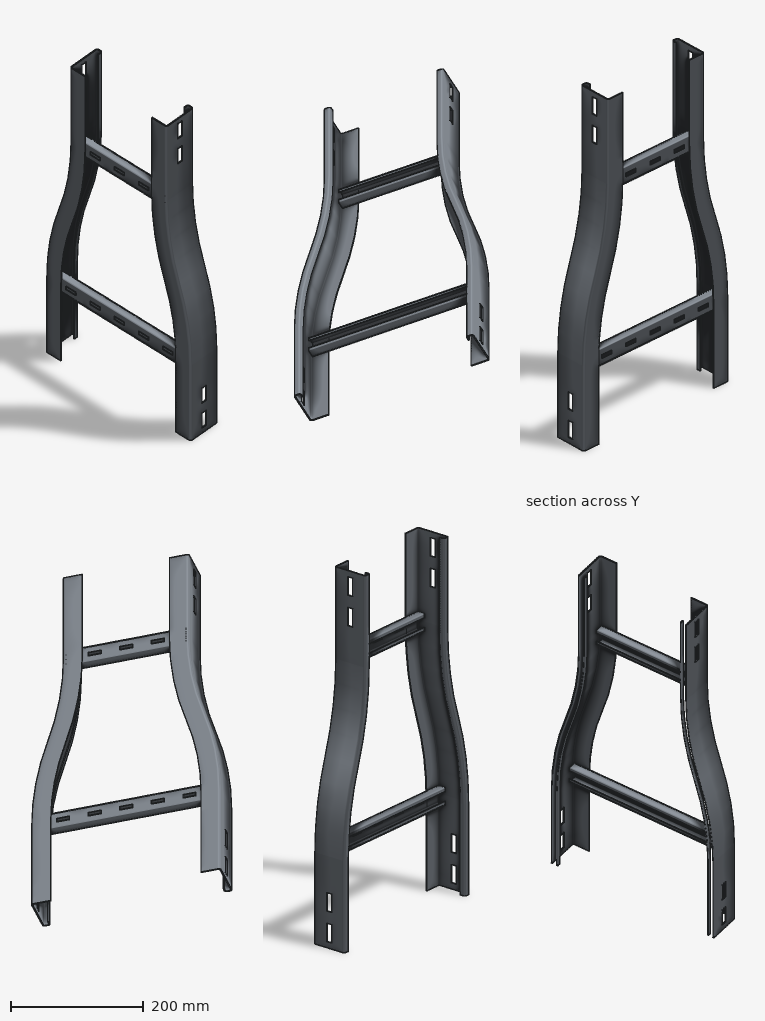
import cadquery as cq
import math

LENGTH = 600.0
WIDE_WIDTH = 300.0
NARROW_WIDTH = WIDE_WIDTH * 2 / 3
QUARTER = LENGTH / 4

RAIL_SHEET = 2.0
RAIL_DEPTH = 60.0
BACK_FLANGE = 12.0
LIP_DEPTH = 9.0
RAIL_BEND = 4.0
FRONT_FLAT = 27.0
FRONT_FLANGE = FRONT_FLAT + RAIL_BEND

RAIL_SLOT_LENGTH = 30.0
RAIL_SLOT_WIDTH = 9.5
RAIL_SLOT_PITCH = QUARTER / 3
RAIL_SLOT_INSET = RAIL_SLOT_PITCH / 2

RUNG_SHEET = 1.5
RUNG_HEIGHT = 30.0
RUNG_DEPTH = RUNG_HEIGHT / 2
RUNG_LIP = 7.0
RUNG_BEND = 2.0
RUNG_END_GAP = 5.0
RUNG_SLOT_LENGTH = 20.5
RUNG_SLOT_HEIGHT = 6.0
RUNG_SLOT_PITCH = RAIL_SLOT_PITCH

RAIL_FRONT_Y = -RAIL_DEPTH / 2
RUNG_FRONT_Y = RAIL_FRONT_Y + RAIL_SHEET


def rounded_run(profile, corners, radius):
    """Continue the profile through right-angled corners, each rounded to the radius, to the last point."""
    for before, corner, after in zip(corners, corners[1:], corners[2:]):
        to_start = (before - corner).normalized() * radius
        to_end = (after - corner).normalized() * radius
        middle = corner + (to_start + to_end) * (1 - math.sqrt(0.5))
        profile = profile.lineTo(*(corner + to_start).toTuple()[:2])
        profile = profile.threePointArc(middle.toTuple()[:2], (corner + to_end).toTuple()[:2])
    return profile.lineTo(*corners[-1].toTuple()[:2])


def folded_sheet(workplane, points, sheet, bend):
    """Closed section of a folded sheet: the points are its outer skin, the sheet lies to their left."""
    outer = [cq.Vector(*point) for point in points]
    up = cq.Vector(0, 0, 1)
    offsets = [up.cross(end - start).normalized() * sheet for start, end in zip(outer, outer[1:])]
    corner_offsets = [first + second for first, second in zip(offsets, offsets[1:])]
    inner_offsets = [offsets[0], *corner_offsets, offsets[-1]]
    inner = [point + offset for point, offset in zip(outer, inner_offsets)][::-1]
    profile = rounded_run(workplane.moveTo(*points[0]), outer, bend)
    profile = profile.lineTo(*inner[0].toTuple()[:2])
    return rounded_run(profile, inner, bend - sheet).close()


def rail_path():
    """Line of the left web's outer face: straight, two opposite tangent arcs, straight."""
    wide_x = -WIDE_WIDTH / 2
    narrow_x = -NARROW_WIDTH / 2
    half_shift = (narrow_x - wide_x) / 2
    bend_top = LENGTH - QUARTER
    return (
        cq.Workplane("XZ")
        .moveTo(wide_x, 0)
        .lineTo(wide_x, QUARTER)
        .tangentArcPoint((half_shift, QUARTER))
        .threePointArc(arc_middle(narrow_x, bend_top, half_shift), (narrow_x, bend_top))
        .lineTo(narrow_x, LENGTH)
    )


def arc_middle(end_x, end_z, half_shift):
    """Point half-way along the upper arc, which ends upright at (end_x, end_z)."""
    radius = (QUARTER**2 + half_shift**2) / (2 * half_shift)
    half_turn = math.asin(QUARTER / radius) / 2
    return end_x - radius * (1 - math.cos(half_turn)), end_z - radius * math.sin(half_turn)


def left_rail():
    web_x = -WIDE_WIDTH / 2
    back_y = RAIL_DEPTH / 2
    lip_x = web_x + BACK_FLANGE
    skin = [
        (lip_x, back_y - LIP_DEPTH),
        (lip_x, back_y),
        (web_x, back_y),
        (web_x, RAIL_FRONT_Y),
        (web_x + FRONT_FLANGE, RAIL_FRONT_Y),
    ]
    rail = folded_sheet(cq.Workplane("XY"), skin, RAIL_SHEET, RAIL_BEND).sweep(rail_path())
    first = RAIL_SLOT_INSET
    second = first + RAIL_SLOT_PITCH
    slots = (
        cq.Workplane("YZ")
        .pushPoints([(0, z) for z in (first, second, LENGTH - second, LENGTH - first)])
        .rect(RAIL_SLOT_WIDTH, RAIL_SLOT_LENGTH)
        .extrude(-WIDE_WIDTH)
    )
    return rail.cut(slots)


def rung(frame_width, centre_z, slot_count):
    length = frame_width - 2 * RUNG_END_GAP
    back_y = RUNG_FRONT_Y + RUNG_DEPTH
    top = centre_z + RUNG_HEIGHT / 2
    bottom = centre_z - RUNG_HEIGHT / 2
    skin = [
        (back_y, top - RUNG_LIP),
        (back_y, top),
        (RUNG_FRONT_Y, top),
        (RUNG_FRONT_Y, bottom),
        (back_y, bottom),
        (back_y, bottom + RUNG_LIP),
    ]
    channel = folded_sheet(cq.Workplane("YZ"), skin, RUNG_SHEET, RUNG_BEND).extrude(length / 2, both=True)
    slots = (
        cq.Workplane("XZ")
        .center(0, centre_z)
        .rarray(RUNG_SLOT_PITCH, 6, slot_count, 1)
        .rect(RUNG_SLOT_LENGTH, RUNG_SLOT_HEIGHT)
        .extrude(RAIL_DEPTH)
    )
    return channel.cut(slots)


rails = [left_rail(), left_rail().mirror("YZ")]
rungs = [
    rung(frame_width, centre_z, slot_count)
    for frame_width, centre_z, slot_count in (
        (WIDE_WIDTH, QUARTER, 5),
        (NARROW_WIDTH, LENGTH - QUARTER, 3),
    )
]
result = cq.Compound.makeCompound([body.val() for body in rails + rungs])